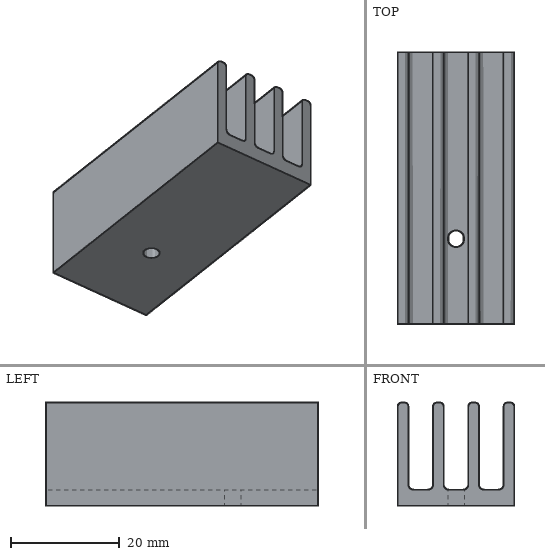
import cadquery as cq

width = 21.45
length = 50.0
height = 19.0

base_thickness = 3.0
fin_count = 4
fin_thickness = 2.0
tip_radius = 0.75
root_radius = 0.9
channel_count = fin_count - 1
fin_pitch = (width - fin_thickness) / channel_count
channel_width = fin_pitch - fin_thickness
channel_depth = height - base_thickness

hole_diameter = 3.0
hole_from_front = 15.7


def make_block():
    """Solid block centred on X and Y, with its underside at Z = 0."""
    return cq.Workplane("XY").box(width, length, height, centered=(True, True, False))


def make_channel(center_x):
    """Open-topped channel between two fins, with rounded floor corners."""
    return (
        cq.Workplane("XY", origin=(center_x, 0, base_thickness))
        .box(channel_width, length, channel_depth, centered=(True, True, False))
        .edges("|Y and <Z")
        .fillet(root_radius)
    )


def cut_channels(body):
    """Cut the evenly spaced channels, laid out symmetrically about X = 0."""
    for index in range(channel_count):
        center_x = (index - (channel_count - 1) / 2) * fin_pitch
        body = body.cut(make_channel(center_x))
    return body


def round_fin_tips(body):
    """Round both long edges at the top of every fin."""
    return body.faces(">Z").edges("|Y").fillet(tip_radius)


def drill_mounting_hole(body):
    """Drill straight through the base, off-centre along the length."""
    hole = (
        cq.Workplane("XY", origin=(0, hole_from_front - length / 2, 0))
        .circle(hole_diameter / 2)
        .extrude(base_thickness)
    )
    return body.cut(hole)


finned_body = round_fin_tips(cut_channels(make_block()))
result = drill_mounting_hole(finned_body)